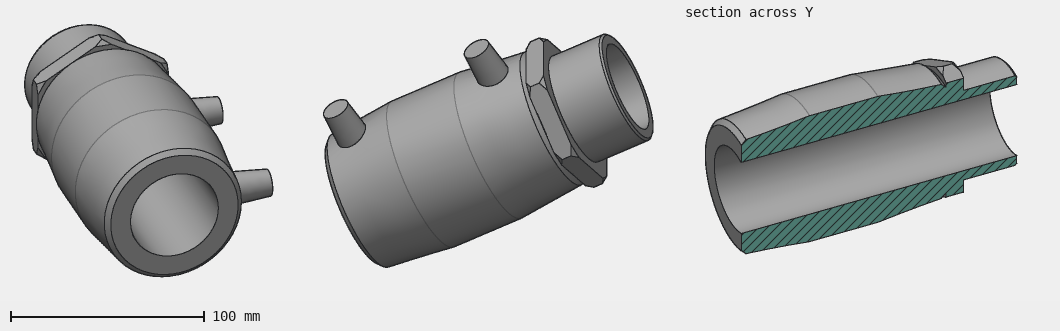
import cadquery as cq

total_length = 158.0
hex_start = 30.5
hex_width = 10.1
sleeve_start = hex_start + hex_width
sleeve_length = total_length - sleeve_start
sleeve_middle = sleeve_start + sleeve_length / 2
taper_length = sleeve_length / 3

sleeve_radius = 82.0 / 2
sleeve_end_radius = 37.3
sleeve_chamfer = 2.7
spigot_radius = 59.5 / 2
spigot_chamfer = 1.1
bore_radius = 47.7 / 2

hex_corner_diameter = 2 * sleeve_radius
hex_corner_chamfer = 2.5

total_depth = 98.0
pin_tip_y = total_depth - sleeve_radius
pin_root_y = 31.6
pin_tip_radius = 7.1
pin_root_radius = 9.2
pin_offset = 41.0


def make_spigot():
    """Plain pipe end, running as far as the sleeve."""
    spigot = cq.Workplane("YZ").circle(spigot_radius).extrude(sleeve_start)
    return spigot.faces("<X").chamfer(spigot_chamfer)


def make_hex_collar():
    """Hexagon with corners at top and bottom, each corner cut flat at both ends."""
    plane = cq.Workplane("YZ", origin=(hex_start, 0, 0)).transformed(rotate=(0, 0, 90))
    hexagon = plane.polygon(6, hex_corner_diameter).extrude(hex_width)
    corner_limit = (
        plane.polygon(6, hex_corner_diameter, circumscribed=True)
        .extrude(hex_width)
        .faces("<X or >X")
        .chamfer(hex_corner_chamfer)
    )
    return hexagon.intersect(corner_limit)


def make_sleeve():
    """Straight middle third between two tapered thirds with chamfered ends."""
    face_radius = sleeve_end_radius - sleeve_chamfer
    profile = [
        (sleeve_start, 0),
        (sleeve_start, face_radius),
        (sleeve_start + sleeve_chamfer, sleeve_end_radius),
        (sleeve_start + taper_length, sleeve_radius),
        (total_length - taper_length, sleeve_radius),
        (total_length - sleeve_chamfer, sleeve_end_radius),
        (total_length, face_radius),
        (total_length, 0),
    ]
    return cq.Workplane("XY").polyline(profile).close().revolve(360, (0, 0, 0), (1, 0, 0))


def make_pin(center_x):
    """Cone pointing along +Y, rooted inside the sleeve wall."""
    cone = cq.Solid.makeCone(
        pin_root_radius,
        pin_tip_radius,
        pin_tip_y - pin_root_y,
        pnt=cq.Vector(center_x, pin_root_y, 0),
        dir=cq.Vector(0, 1, 0),
    )
    return cq.Workplane(obj=cone)


result = make_spigot().union(make_hex_collar()).union(make_sleeve())
for side in (-1, 1):
    result = result.union(make_pin(sleeve_middle + side * pin_offset))

bore = cq.Workplane("YZ").circle(bore_radius).extrude(total_length)
result = result.cut(bore)